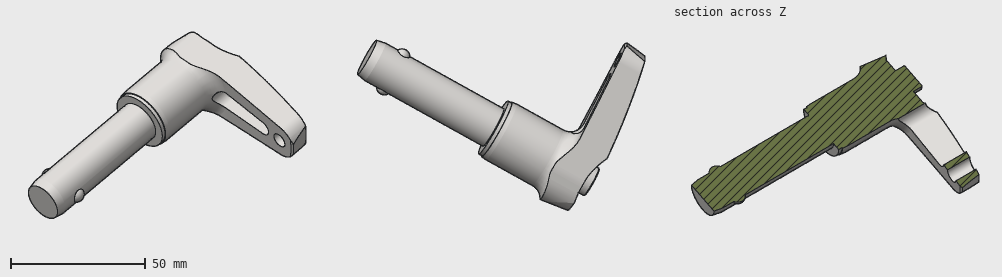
import cadquery as cq
import math


shank_radius = 8.0
shank_length = 54.0
tip_radius = 7.3
tip_chamfer_length = 3.5

ball_radius = 3.0
ball_reach = 9.6
ball_y = -42.8

collar_radius = 11.875
lip_radius = 11.3
lip_height = 1.5
bevel_radius = 11.65
bevel_top_y = 3.5
flare_start_y = 23.3
flare_radius = 5.7

button_radius = 5.85
button_top_y = 42.2
button_chamfer = 0.35

hub_radius = 12.35
nose_radius = 12.0
nose_x = -3.0
end_radius = 7.4
end_x = 45.1

flare_end_radius = collar_radius + flare_radius
flare_end_y = flare_start_y + flare_radius
arm_reach = 52.07
arm_bottom_y = 27.2
arm_edge_width = 0.95
arm_edge_height = 0.4
arm_top_reach = 50.8
arm_top_y = 36.1
crest_radius = 16.8
crest_y = 41.5
crown_sag = 0.5
hub_top_y = 38.1

nose_taper_bottom_radius = 15.0
nose_taper_bottom_y = 28.5
nose_taper_top_radius = 13.55
nose_taper_top_y = 39.4

slot_wide_radius = 4.2
slot_wide_x = 16.9
slot_narrow_radius = 3.1
slot_narrow_x = 36.3
eye_radius = 2.85


def turned(points):
    """Revolve a closed (radius, Y) polygon about the pin axis."""
    return cq.Workplane("XY").polyline(points).close().revolve(360, (0, 0, 0), (0, 1, 0))


def tangent_points(x1, r1, x2, r2):
    """Upper tangent points of two circles centred on the X axis."""
    lean = math.asin((r1 - r2) / (x2 - x1))
    return [(x + r * math.sin(lean), r * math.cos(lean)) for x, r in ((x1, r1), (x2, r2))]


def mirrored(point):
    return (point[0], -point[1])


def through_block(outline):
    """Extrude an XZ outline along +Y past the top of the part."""
    return outline.close().extrude(-button_top_y)


def make_shank():
    return turned([
        (0, -shank_length),
        (tip_radius, -shank_length),
        (shank_radius, tip_chamfer_length - shank_length),
        (shank_radius, lip_height),
        (0, lip_height),
    ])


def make_balls():
    balls = cq.Workplane("XY")
    centre_x = ball_reach - ball_radius
    for side in (-1, 1):
        balls = balls.union(cq.Workplane("XY").sphere(ball_radius).translate((side * centre_x, ball_y, 0)))
    return balls


def make_collar():
    return turned([
        (0, 0),
        (lip_radius, 0),
        (lip_radius, lip_height),
        (bevel_radius, lip_height),
        (collar_radius, bevel_top_y),
        (collar_radius, flare_start_y),
        (0, flare_start_y),
    ])


def make_button():
    return turned([
        (0, flare_start_y),
        (button_radius, flare_start_y),
        (button_radius, button_top_y - button_chamfer),
        (button_radius - button_chamfer, button_top_y),
        (0, button_top_y),
    ])


def make_handle_outline():
    nose_near, hub_near = tangent_points(nose_x, nose_radius, 0, hub_radius)
    hub_far, end_near = tangent_points(0, hub_radius, end_x, end_radius)
    return through_block(
        cq.Workplane("XZ")
        .moveTo(*nose_near)
        .lineTo(*hub_near)
        .threePointArc((0, hub_radius), hub_far)
        .lineTo(*end_near)
        .threePointArc((end_x + end_radius, 0), mirrored(end_near))
        .lineTo(*mirrored(hub_far))
        .threePointArc((0, -hub_radius), mirrored(hub_near))
        .lineTo(*mirrored(nose_near))
        .threePointArc((nose_x - nose_radius, 0), nose_near)
    )


def make_handle_profile():
    diagonal = flare_radius * math.sqrt(0.5)
    flare_middle = (flare_end_radius - diagonal, flare_start_y + diagonal)
    crown_middle = ((crest_radius + arm_top_reach) / 2, (crest_y + arm_top_y) / 2 + crown_sag)
    return (
        cq.Workplane("XY")
        .moveTo(0, flare_start_y)
        .lineTo(collar_radius, flare_start_y)
        .threePointArc(flare_middle, (flare_end_radius, flare_end_y))
        .lineTo(arm_reach - arm_edge_width, arm_bottom_y)
        .lineTo(arm_reach, arm_bottom_y + arm_edge_height)
        .lineTo(arm_top_reach, arm_top_y)
        .threePointArc(crown_middle, (crest_radius, crest_y))
        .lineTo(collar_radius, hub_top_y)
        .lineTo(0, hub_top_y)
        .close()
        .revolve(360, (0, 0, 0), (0, 1, 0))
    )


def make_nose_taper():
    """Ring of material outside the nose cone, on the -X half only."""
    slope = (nose_taper_top_radius - nose_taper_bottom_radius) / (nose_taper_top_y - nose_taper_bottom_y)
    top_radius = nose_taper_bottom_radius + slope * (button_top_y - nose_taper_bottom_y)
    outside = 2 * nose_taper_bottom_radius
    ring = turned([
        (nose_taper_bottom_radius, nose_taper_bottom_y),
        (outside, nose_taper_bottom_y),
        (outside, button_top_y),
        (top_radius, button_top_y),
    ])
    half = cq.Workplane("XY").box(outside, 4 * outside, 2 * outside).translate((-outside / 2, 0, 0))
    return ring.intersect(half)


def make_slot():
    wide, narrow = tangent_points(slot_wide_x, slot_wide_radius, slot_narrow_x, slot_narrow_radius)
    return through_block(
        cq.Workplane("XZ")
        .moveTo(*wide)
        .lineTo(*narrow)
        .threePointArc((slot_narrow_x + slot_narrow_radius, 0), mirrored(narrow))
        .lineTo(*mirrored(wide))
        .threePointArc((slot_wide_x - slot_wide_radius, 0), wide)
    )


def make_eye():
    return cq.Workplane("XZ").center(end_x, 0).circle(eye_radius).extrude(-button_top_y)


def make_handle():
    handle = make_handle_profile().intersect(make_handle_outline())
    return handle.cut(make_nose_taper()).cut(make_slot()).cut(make_eye())


result = make_collar().union(make_handle()).union(make_button()).union(make_shank()).union(make_balls())